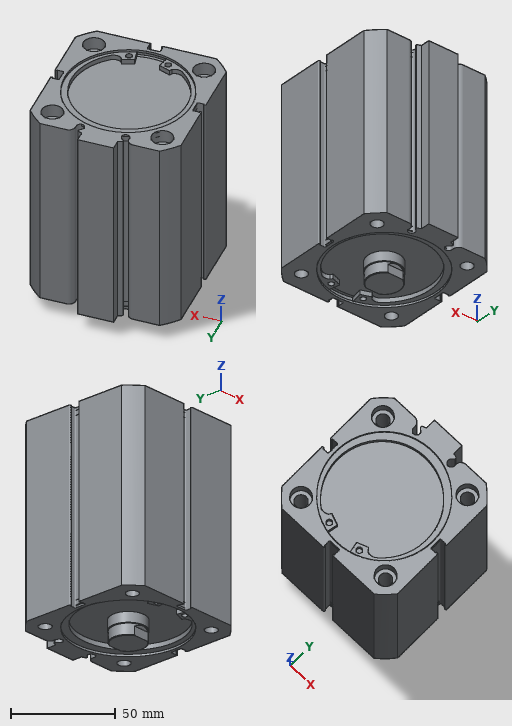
import cadquery as cq
import math

HALF_WIDTH = 38.8
HOUSING_HEIGHT = 106.0
CORNER_RADIUS = 49.5
BORE_RADIUS = 32.5

MOUNT_OFFSET = 28.3
MOUNT_HOLE_DIAMETER = 6.8
COUNTERBORE_DIAMETER = 11.0
COUNTERBORE_DEPTH = 6.8

SLOT_FLOOR = 34.3
SLOT_HALF_WIDTH = 3.3
SLOT_MOUTH_HALF_WIDTH = 2.7
SLOT_LIP = 1.0
SLOT_FILLET = 0.5

RAIL_TOP = 44.2
RAIL_HALF_WIDTH = 9.2
RAIL_LUG_HALF_WIDTH = 11.5
RAIL_LUG_TOP = 37.8
RAIL_LUG_BOTTOM = 36.9
GROOVE_RADIUS = 2.0
GROOVE_X = 11.6
GROOVE_Y = 34.3
SHOULDER_RADIUS = 3.4

RING_INSET = 1.3
RING_THICKNESS = 2.6
RING_OUTER_RADIUS = 34.1
RING_INNER_RADIUS = 29.6
RING_INNER_SHIFT = -1.5
FRONT_RING_PLAY = 0.5
LUG_TIP = (6.4, -25.6)
LUG_FOOT_X = 7.9
LUG_PEAK = (12.3, -23.5)
LUG_NECK = (13.1, -24.9)
LUG_VALLEY = (15.8, -25.6)
LUG_BLEND_X = 18.8
LUG_HOLE_PLACE = (10.0, -27.6)
LUG_HOLE_DIAMETER = 3.2

REAR_COVER_THICKNESS = 9.1
FRONT_COVER_THICKNESS = 22.8

ROD_RADIUS = 10.0
ROD_COLLAR = 1.7
ROD_PROJECTION = 8.0
ROD_TIP_RADIUS = 9.7
ROD_EDGE_CHAMFER = 0.3
ROD_FLAT_HALF_DISTANCE = 8.4
ROD_FLAT_START = 3.1

REAR_RING_BASE = HOUSING_HEIGHT - RING_INSET - RING_THICKNESS
FRONT_RING_BASE = RING_INSET + FRONT_RING_PLAY
FRONT_RING_TOP = FRONT_RING_BASE + RING_THICKNESS


def disc(radius, base, height):
    return cq.Workplane("XY").workplane(offset=base).circle(radius).extrude(height)


def sensor_slot(angle):
    """T-shaped slot along Z, cut into the -Y face and turned about the bore axis."""
    lip_y = -HALF_WIDTH + SLOT_LIP
    mouth_y = -HALF_WIDTH + SLOT_FILLET
    mouth_edge = SLOT_MOUTH_HALF_WIDTH + SLOT_FILLET
    wall_end_y = -SLOT_FLOOR - SLOT_FILLET
    floor_half_width = SLOT_HALF_WIDTH - SLOT_FILLET
    slot = (
        cq.Workplane("XY")
        .moveTo(-mouth_edge, -HALF_WIDTH)
        .radiusArc((-SLOT_MOUTH_HALF_WIDTH, mouth_y), -SLOT_FILLET)
        .lineTo(-SLOT_MOUTH_HALF_WIDTH, lip_y)
        .lineTo(-SLOT_HALF_WIDTH, lip_y)
        .lineTo(-SLOT_HALF_WIDTH, wall_end_y)
        .radiusArc((-floor_half_width, -SLOT_FLOOR), SLOT_FILLET)
        .lineTo(floor_half_width, -SLOT_FLOOR)
        .radiusArc((SLOT_HALF_WIDTH, wall_end_y), SLOT_FILLET)
        .lineTo(SLOT_HALF_WIDTH, lip_y)
        .lineTo(SLOT_MOUTH_HALF_WIDTH, lip_y)
        .lineTo(SLOT_MOUTH_HALF_WIDTH, mouth_y)
        .radiusArc((mouth_edge, -HALF_WIDTH), -SLOT_FILLET)
        .close()
        .extrude(HOUSING_HEIGHT)
    )
    return slot.rotate((0, 0, 0), (0, 0, 1), angle)


def rail_side_groove():
    """Space beside the rail on its +X side, from the rail top down to the round groove."""
    diagonal = GROOVE_RADIUS * math.sqrt(0.5)
    groove_wall_x = GROOVE_X + GROOVE_RADIUS
    shoulder_x = groove_wall_x + SHOULDER_RADIUS
    shoulder_y = HALF_WIDTH - SHOULDER_RADIUS
    shoulder_diagonal = SHOULDER_RADIUS * math.sqrt(0.5)
    return (
        cq.Workplane("XY")
        .moveTo(RAIL_HALF_WIDTH, RAIL_TOP)
        .lineTo(RAIL_HALF_WIDTH, HALF_WIDTH)
        .lineTo(RAIL_LUG_HALF_WIDTH, RAIL_LUG_TOP)
        .lineTo(RAIL_LUG_HALF_WIDTH, RAIL_LUG_BOTTOM)
        .lineTo(GROOVE_X - diagonal, GROOVE_Y + diagonal)
        .threePointArc((GROOVE_X, GROOVE_Y - GROOVE_RADIUS), (groove_wall_x, GROOVE_Y))
        .lineTo(groove_wall_x, shoulder_y)
        .threePointArc(
            (shoulder_x - shoulder_diagonal, shoulder_y + shoulder_diagonal),
            (shoulder_x, HALF_WIDTH),
        )
        .lineTo(shoulder_x, RAIL_TOP)
        .close()
        .extrude(HOUSING_HEIGHT)
    )


def make_housing():
    width = 2 * HALF_WIDTH
    block = (
        cq.Workplane("XY")
        .rect(width, width)
        .extrude(HOUSING_HEIGHT)
        .intersect(disc(CORNER_RADIUS, 0, HOUSING_HEIGHT))
    )
    rail_blank_half = GROOVE_X + GROOVE_RADIUS + SHOULDER_RADIUS
    rail = (
        cq.Workplane("XY")
        .center(0, (RAIL_TOP + BORE_RADIUS) / 2)
        .rect(2 * rail_blank_half, RAIL_TOP - BORE_RADIUS)
        .extrude(HOUSING_HEIGHT)
    )
    groove = rail_side_groove()
    housing = block.union(rail).cut(groove).cut(groove.mirror("YZ"))
    for angle in (-90, 0, 90):
        housing = housing.cut(sensor_slot(angle))
    housing = (
        housing.faces(">Z")
        .workplane(origin=(0, 0, HOUSING_HEIGHT))
        .rect(2 * MOUNT_OFFSET, 2 * MOUNT_OFFSET, forConstruction=True)
        .vertices()
        .cboreHole(MOUNT_HOLE_DIAMETER, COUNTERBORE_DIAMETER, COUNTERBORE_DEPTH)
    )
    housing = housing.cut(disc(BORE_RADIUS, 0, HOUSING_HEIGHT))
    housing = housing.cut(disc(RING_OUTER_RADIUS, REAR_RING_BASE, RING_THICKNESS))
    return housing.cut(disc(RING_OUTER_RADIUS, RING_INSET, FRONT_RING_TOP - RING_INSET))


def make_ring(base):
    """Internal retaining ring, open towards -Y, with a pierced lug at each end."""
    foot_y = -math.sqrt(RING_OUTER_RADIUS**2 - LUG_FOOT_X**2)
    blend_y = RING_INNER_SHIFT - math.sqrt(RING_INNER_RADIUS**2 - LUG_BLEND_X**2)

    def left(point):
        return (-point[0], point[1])

    foot = (LUG_FOOT_X, foot_y)
    blend = (LUG_BLEND_X, blend_y)
    return (
        cq.Workplane("XY")
        .workplane(offset=base)
        .moveTo(*foot)
        .threePointArc((0, RING_OUTER_RADIUS), left(foot))
        .lineTo(*left(LUG_TIP))
        .lineTo(*left(LUG_PEAK))
        .lineTo(*left(LUG_NECK))
        .threePointArc(left(LUG_VALLEY), left(blend))
        .threePointArc((0, RING_INNER_RADIUS + RING_INNER_SHIFT), blend)
        .threePointArc(LUG_VALLEY, LUG_NECK)
        .lineTo(*LUG_PEAK)
        .lineTo(*LUG_TIP)
        .close()
        .extrude(RING_THICKNESS)
        .cut(
            cq.Workplane("XY")
            .workplane(offset=base)
            .pushPoints([LUG_HOLE_PLACE, left(LUG_HOLE_PLACE)])
            .circle(LUG_HOLE_DIAMETER / 2)
            .extrude(RING_THICKNESS)
        )
    )


def make_rear_cover():
    return disc(BORE_RADIUS, REAR_RING_BASE - REAR_COVER_THICKNESS, REAR_COVER_THICKNESS)


def make_front_cover():
    cover = disc(BORE_RADIUS, FRONT_RING_TOP, FRONT_COVER_THICKNESS)
    return cover.cut(disc(ROD_RADIUS, FRONT_RING_TOP, FRONT_COVER_THICKNESS))


def rod_flat():
    """Wrench flat on the -Y side of the rod tip, running out at 45 degrees."""
    runout = ROD_RADIUS
    outline = [
        (-ROD_FLAT_HALF_DISTANCE, -ROD_PROJECTION),
        (-ROD_FLAT_HALF_DISTANCE, -ROD_FLAT_START),
        (-ROD_FLAT_HALF_DISTANCE - runout, -ROD_FLAT_START + runout),
        (-ROD_FLAT_HALF_DISTANCE - runout, -ROD_PROJECTION),
    ]
    return cq.Workplane("YZ").polyline(outline).close().extrude(ROD_RADIUS, both=True)


def make_rod():
    top = REAR_RING_BASE - REAR_COVER_THICKNESS
    rod = disc(ROD_RADIUS, -ROD_COLLAR, top + ROD_COLLAR)
    rod = rod.faces("<Z").chamfer(ROD_EDGE_CHAMFER)
    tip = disc(ROD_TIP_RADIUS, -ROD_PROJECTION, ROD_PROJECTION - ROD_COLLAR)
    tip = tip.faces("<Z").chamfer(ROD_EDGE_CHAMFER)
    flat = rod_flat()
    return rod.union(tip).cut(flat).cut(flat.mirror("XZ"))


housing = make_housing()
rear_cover = make_rear_cover()
front_cover = make_front_cover()
rings = [make_ring(base) for base in (REAR_RING_BASE, FRONT_RING_BASE)]
piston_rod = make_rod()

result = cq.Compound.makeCompound(
    [
        housing.val(),
        rear_cover.val(),
        front_cover.val(),
        *[ring.val() for ring in rings],
        piston_rod.val(),
    ]
)